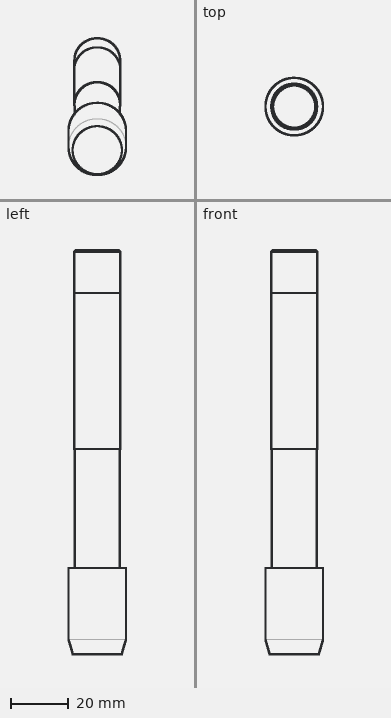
import cadquery as cq

total_length = 140.0
head_length = 30.0
taper_height = 5.0
neck_top = 71.1
tip_length = 15.0
tip_bottom = total_length - tip_length

head_diameter = 20.0
head_end_diameter = 17.1
neck_diameter = 15.7
shank_diameter = 16.0

tip_chamfer = 0.7


def cylinder(diameter, bottom, top):
    """Round bar on the Z axis between two heights."""
    return cq.Workplane("XY").workplane(offset=bottom).circle(diameter / 2).extrude(top - bottom)


def make_head():
    """Thick lower head, narrowing to its bottom face."""
    outline = [
        (0, 0),
        (head_end_diameter / 2, 0),
        (head_diameter / 2, taper_height),
        (head_diameter / 2, head_length),
        (0, head_length),
    ]
    return cq.Workplane("XZ").polyline(outline).close().revolve(360, (0, 0, 0), (0, 1, 0))


def make_pin():
    """Headed pin: the head, a slightly relieved neck and the full-diameter shank."""
    neck = cylinder(neck_diameter, head_length, neck_top)
    shank = cylinder(shank_diameter, neck_top, tip_bottom)
    return make_head().union(neck).union(shank)


def make_tip():
    """Separate end piece, flush with the shank, chamfered on its upper rim."""
    return cylinder(shank_diameter, tip_bottom, total_length).faces(">Z").chamfer(tip_chamfer)


pin = make_pin()
tip = make_tip()
result = cq.Compound.makeCompound([pin.val(), tip.val()])